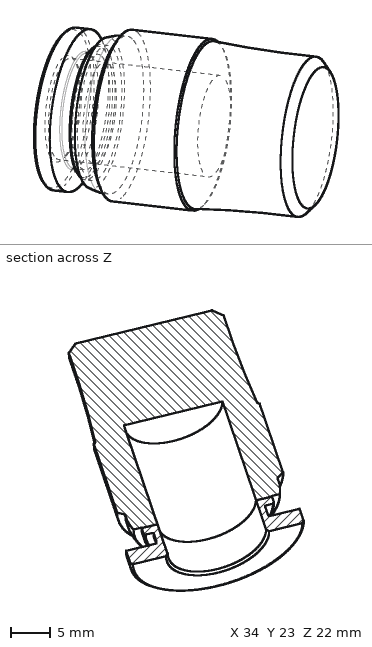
import cadquery as cq


length = 34.0
flange_thickness = 2.25
collar_start = 3.85
housing_start = 5.0
shoulder_round_end = 6.53
barrel_chamfer_start = 7.45
barrel_start = 8.02
barrel_end = 18.8
grip_start = 19.05
bore_floor = 20.4

bore_radius = 13.0 / 2
neck_radius = 14.8 / 2
collar_radius = 17.3 / 2
shoulder_radius = 20.2 / 2
barrel_radius = 22.0 / 2
shoulder_front_radius = 9.7
grip_front_radius = 10.75
grip_rear_radius = 10.27
end_face_radius = 9.05

flange_half_width = 23.0 / 2
flange_half_height = 10.3
flange_chamfer = 0.3

bore_chamfer = 0.35
neck_fillet = 0.2
collar_chamfer = 0.25
end_chamfer_length = 1.15

shoulder_middle = (5.78, 9.95)
grip_middle = (25.85, 10.35)


def cylinder(start, end, radius):
    """Solid cylinder on the X axis between two stations."""
    return cq.Workplane("YZ", origin=(start, 0, 0)).circle(radius).extrude(end - start)


def make_sleeve():
    """Release sleeve: oval push flange, neck and collar, bored through."""
    flange = (
        cq.Workplane("YZ")
        .ellipse(flange_half_width, flange_half_height)
        .extrude(flange_thickness)
        .faces("<X")
        .chamfer(flange_chamfer)
    )
    sleeve = flange.union(cylinder(flange_thickness, collar_start, neck_radius))
    neck_root = cq.selectors.BoxSelector(
        (flange_thickness - neck_fillet / 2, -collar_radius, -collar_radius),
        (flange_thickness + neck_fillet / 2, collar_radius, collar_radius),
    )
    sleeve = sleeve.edges("%CIRCLE").edges(neck_root).fillet(neck_fillet)
    collar = cylinder(collar_start, housing_start, collar_radius).faces("<X").chamfer(collar_chamfer)
    sleeve = sleeve.union(collar).cut(cylinder(0, housing_start, bore_radius))
    mouth = sleeve.faces("<X").edges("%CIRCLE")
    return mouth.chamfer(bore_chamfer)


def make_housing():
    """Turned housing with a blind tube bore that continues the sleeve bore."""
    body = (
        cq.Workplane("XY")
        .moveTo(housing_start, 0)
        .lineTo(housing_start, shoulder_front_radius)
        .threePointArc(shoulder_middle, (shoulder_round_end, shoulder_radius))
        .lineTo(barrel_chamfer_start, shoulder_radius)
        .lineTo(barrel_start, barrel_radius)
        .lineTo(barrel_end, barrel_radius)
        .lineTo(grip_start, grip_front_radius)
        .threePointArc(grip_middle, (length - end_chamfer_length, grip_rear_radius))
        .lineTo(length, end_face_radius)
        .lineTo(length, 0)
        .close()
        .revolve(360, (0, 0, 0), (1, 0, 0))
    )
    return body.cut(cylinder(housing_start, bore_floor, bore_radius))


sleeve = make_sleeve()
housing = make_housing()
result = cq.Compound.makeCompound([sleeve.val(), housing.val()])